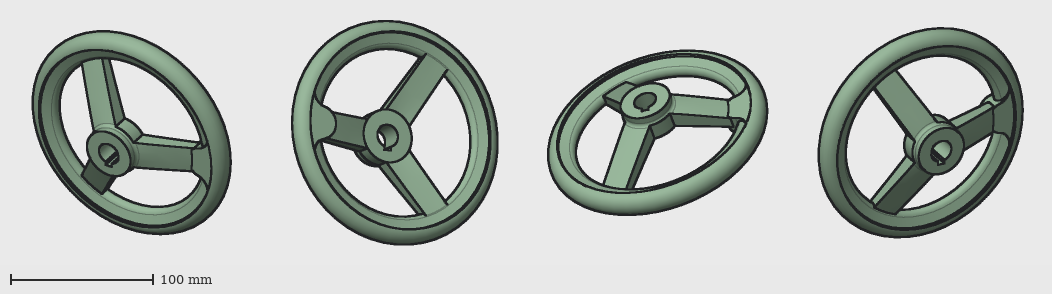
import cadquery as cq
import math


RIM_OUTER_RADIUS = 80.0
LIP_RADIUS = 71.0
LIP_WIDTH = 0.5
LIP_HEIGHT = 1.75
GRIP_RADIUS = RIM_OUTER_RADIUS - LIP_RADIUS
GRIP_DEPTH = 2 * GRIP_RADIUS

CORE_INNER_RADIUS = 60.0
CORE_OUTER_RADIUS = LIP_RADIUS - LIP_WIDTH
CORE_BACK = LIP_HEIGHT
CORE_FRONT = GRIP_DEPTH - LIP_HEIGHT
CORE_CONE_ANGLE = math.radians(20.0)

HUB_FRONT = 40.0
HUB_BACK = 20.0
HUB_RADIUS = 19.0
NOSE_RADIUS = 18.0
NOSE_FILLET = 3.3

BORE_DIAMETER = 16.0
KEY_WIDTH = 5.0
KEY_DEPTH = 10.3

SPOKE_COUNT = 3
SPOKE_ROOT_HALF_WIDTH = 10.7
SPOKE_TIP_HALF_WIDTH = 9.7
WEB_OUTER_RADIUS = 64.0
WEB_FRONT_AT_NOSE = 32.7
WEB_FRONT_ANGLE = math.radians(24.5)
WEB_BACK_ANGLE = math.radians(19.3)

BOSS_POSITION = 62.0
BOSS_RADIUS = 12.0
BOSS_BLEND = 10.0


def front_workplane(height=0):
    """Workplane with local x along X, local y along Z and its normal forward, at a height."""
    return cq.Workplane("XZ", origin=(0, -height, 0))


def revolve_about_wheel_axis(profile):
    return profile.close().revolve(360, (0, 0, 0), (0, 1, 0))


def make_rim():
    """Grip and core, both symmetrical about the middle of the rim's depth."""
    middle = GRIP_RADIUS
    half_depth = CORE_FRONT - middle
    core_width = CORE_OUTER_RADIUS - CORE_INNER_RADIUS
    sine = math.sin(CORE_CONE_ANGLE)
    cosine = math.cos(CORE_CONE_ANGLE)
    core_round = (half_depth * cosine - core_width * sine) / (1 - sine)
    cone_end_radius = CORE_INNER_RADIUS + core_round * (1 - sine)
    cone_end_rise = core_round * cosine
    profile = (
        cq.Workplane("XY")
        .moveTo(LIP_RADIUS, 0)
        .threePointArc((RIM_OUTER_RADIUS, -middle), (LIP_RADIUS, -GRIP_DEPTH))
        .lineTo(CORE_OUTER_RADIUS, -CORE_FRONT)
        .lineTo(cone_end_radius, -middle - cone_end_rise)
        .threePointArc((CORE_INNER_RADIUS, -middle), (cone_end_radius, -middle + cone_end_rise))
        .lineTo(CORE_OUTER_RADIUS, -CORE_BACK)
    )
    return revolve_about_wheel_axis(profile)


def make_hub_and_web():
    """Hub and full conical web in one turned body, filleted between nose and web."""
    fillet_reach = NOSE_FILLET / math.tan((math.pi / 2 + WEB_FRONT_ANGLE) / 2)
    fillet_end_radius = NOSE_RADIUS + fillet_reach * math.cos(WEB_FRONT_ANGLE)
    fillet_end_height = WEB_FRONT_AT_NOSE - fillet_reach * math.sin(WEB_FRONT_ANGLE)
    outer_front = WEB_FRONT_AT_NOSE - (WEB_OUTER_RADIUS - NOSE_RADIUS) * math.tan(WEB_FRONT_ANGLE)
    outer_back = HUB_BACK - (WEB_OUTER_RADIUS - HUB_RADIUS) * math.tan(WEB_BACK_ANGLE)
    profile = (
        cq.Workplane("XY")
        .moveTo(0, -HUB_FRONT)
        .lineTo(NOSE_RADIUS, -HUB_FRONT)
        .lineTo(NOSE_RADIUS, -WEB_FRONT_AT_NOSE - fillet_reach)
        .radiusArc((fillet_end_radius, -fillet_end_height), NOSE_FILLET)
        .lineTo(WEB_OUTER_RADIUS, -outer_front)
        .lineTo(WEB_OUTER_RADIUS, -outer_back)
        .lineTo(HUB_RADIUS, -HUB_BACK)
        .lineTo(0, -HUB_BACK)
    )
    return revolve_about_wheel_axis(profile)


def make_spider_plan():
    """Hub circle with the tapered spokes around it, as a prism to trim the web with."""
    plan = front_workplane().circle(HUB_RADIUS).extrude(HUB_FRONT)
    spoke = (
        front_workplane()
        .moveTo(0, -SPOKE_ROOT_HALF_WIDTH)
        .lineTo(WEB_OUTER_RADIUS, -SPOKE_TIP_HALF_WIDTH)
        .lineTo(WEB_OUTER_RADIUS, SPOKE_TIP_HALF_WIDTH)
        .lineTo(0, SPOKE_ROOT_HALF_WIDTH)
        .close()
        .extrude(HUB_FRONT)
    )
    for index in range(SPOKE_COUNT):
        plan = plan.union(spoke.rotate((0, 0, 0), (0, 1, 0), index * 360 / SPOKE_COUNT))
    return plan


def make_boss():
    """Round boss blended on both sides into the core's outer circle."""
    blend_orbit = CORE_OUTER_RADIUS - BOSS_BLEND
    blend_gap = BOSS_RADIUS + BOSS_BLEND
    blend_x = (blend_orbit**2 - blend_gap**2 + BOSS_POSITION**2) / (2 * BOSS_POSITION)
    blend_z = math.sqrt(blend_orbit**2 - blend_x**2)
    rim_x = blend_x * CORE_OUTER_RADIUS / blend_orbit
    rim_z = blend_z * CORE_OUTER_RADIUS / blend_orbit
    boss_x = BOSS_POSITION + (blend_x - BOSS_POSITION) * BOSS_RADIUS / blend_gap
    boss_z = blend_z * BOSS_RADIUS / blend_gap
    outline = (
        front_workplane(CORE_BACK)
        .moveTo(rim_x, -rim_z)
        .threePointArc((CORE_OUTER_RADIUS, 0), (rim_x, rim_z))
        .radiusArc((boss_x, boss_z), BOSS_BLEND)
        .threePointArc((BOSS_POSITION - BOSS_RADIUS, 0), (boss_x, -boss_z))
        .radiusArc((rim_x, -rim_z), BOSS_BLEND)
        .close()
    )
    return outline.extrude(CORE_FRONT - CORE_BACK)


def make_bore():
    bore = front_workplane().circle(BORE_DIAMETER / 2).extrude(HUB_FRONT)
    keyway = front_workplane().center(0, -KEY_DEPTH / 2).rect(KEY_WIDTH, KEY_DEPTH).extrude(HUB_FRONT)
    return bore.union(keyway)


spider = make_hub_and_web().intersect(make_spider_plan())
result = make_rim().union(make_boss()).union(spider).cut(make_bore())